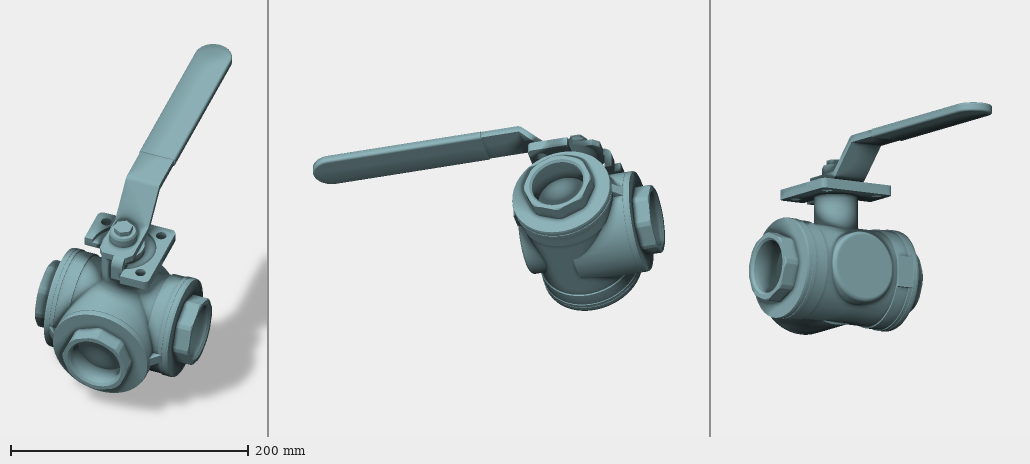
import cadquery as cq


lever_span = 299.2
total_height = 153.8

port_reach = 138.5 / 2
cap_outer = 55.7
cap_inner = 51.0
cap_bevel_length = 1.8
cap_bevel_depth = 0.45
flange_inner = 47.3
band_inner = 35.3
flange_radius = 86.0 / 2
band_radius = 84.0 / 2
run_radius = 40.7
joint_groove = 0.45
joint_width = 0.5

octagon_sides = 8
octagon_flats = 55.0
octagon_corner_radius = 29.0
octagon_chamfer = 1.0
bore_radius = 45 / 2
side_bore_depth = 24.0
front_bore_depth = 20.3
bore_chamfer = 1.8

back_radius = 60.0 / 2
back_reach = 44.5
back_rounding = 3.3
pad_height = 26.3
web_thickness = 8.0

neck_radius = 37.0 / 2
neck_top_radius = 36 / 2
neck_step = 70.5
neck_top = 77.8
neck_fillet = 4.0
plate_side = 70.0
plate_bottom = 65.8
plate_top = 74.2
plate_corner = 4.5
plate_recess_radius = 27.8
plate_hole_diameter = 9.0
plate_hole_circle = 70.0
plate_hole_count = 4
notch_side = 10.2

nut_diameter = 23.0
nut_top = 93.0
nut_chamfer_height = 2.0
nut_chamfer_width = 1.05
stem_sides = 6
stem_corner_diameter = 16.2
stem_top = 97.5

lever_width = 30.0
lever_thickness = 6.0
lever_low_top = neck_top + lever_thickness
lever_high_top = 110.5
lever_rise = lever_high_top - lever_low_top
lever_front = -22.0
lever_bend_top = 19.8
lever_bend_bottom = 20.5
outer_bend_radius = 7.0
inner_bend_radius = 3.0
lever_corner_length = 5.5
lever_corner_width = 4.5
tab_width = 10.0
tab_front = -29.5
tab_bottom = 64.0
grip_width = 32.0
grip_start = 80.2
grip_end = lever_span - port_reach
grip_top = total_height - flange_radius
grip_thickness = 7.5
grip_rounding = 1.8


def disc(radius, start, end):
    """Cylinder on the Z axis between two heights."""
    return cq.Workplane("XY").workplane(offset=start).circle(radius).extrude(end - start)


def to_left(shape):
    """Turn a shape built along +Z so that it points along -X."""
    return shape.rotate((0, 0, 0), (0, 1, 0), -90)


def to_right(shape):
    """Turn a shape built along +Z so that it points along +X."""
    return shape.rotate((0, 0, 0), (0, 1, 0), 90)


def to_front(shape):
    """Turn a shape built along +Z so that it points along -Y."""
    return shape.rotate((0, 0, 0), (1, 0, 0), 90)


def cap_and_octagon():
    """End cap with its octagonal port, built along +Z."""
    groove = disc(flange_radius - joint_groove, cap_inner - joint_width, cap_inner)
    cap = (
        disc(flange_radius, cap_inner, cap_outer)
        .faces(">Z").edges().chamfer(cap_bevel_length, cap_bevel_depth)
    )
    octagon = (
        cq.Workplane("XY").workplane(offset=cap_inner)
        .polygon(octagon_sides, octagon_flats, circumscribed=True)
        .extrude(port_reach - cap_inner)
    )
    corner_limit = (
        disc(octagon_corner_radius, cap_inner, port_reach)
        .faces(">Z").edges().chamfer(octagon_chamfer)
    )
    octagon = octagon.rotate((0, 0, 0), (0, 0, 1), 180 / octagon_sides).intersect(corner_limit)
    return groove.union(cap).union(octagon)


def port_bore(depth):
    """Blind bore with a chamfered mouth, built along +Z."""
    bore = disc(bore_radius, port_reach - depth, port_reach)
    mouth = (
        cq.Workplane("XY").workplane(offset=port_reach)
        .circle(bore_radius + bore_chamfer)
        .workplane(offset=-bore_chamfer).circle(bore_radius)
        .loft()
    )
    return bore.union(mouth)


def body():
    """Barrel along X, front branch, back boss and neck; only the front of the neck root is filleted."""
    run = to_right(disc(run_radius, -cap_inner, cap_inner))
    branch = to_front(disc(flange_radius, 0, cap_inner - joint_width))
    neck = disc(neck_radius, 0, neck_step)
    shell = run.union(branch).union(neck)
    root_zone = cq.selectors.BoxSelector(
        (-flange_radius / 2, -flange_radius / 2, run_radius / 2),
        (flange_radius / 2, flange_radius / 2, neck_step - neck_fillet),
    )
    front_half = cq.Workplane("XY").box(
        2 * cap_outer, cap_outer, 2 * neck_top, centered=(True, False, True)
    ).translate((0, -cap_outer, 0))
    shell = shell.union(shell.edges(root_zone).fillet(neck_fillet).intersect(front_half))
    back = to_front(disc(back_radius, -back_reach, 0).faces("<Z").edges().fillet(back_rounding))
    shell = shell.union(back)
    for turn in (to_left, to_right):
        shell = shell.union(turn(disc(band_radius, band_inner, flange_inner)))
        shell = shell.union(turn(disc(flange_radius, flange_inner, cap_inner - joint_width)))
    return shell.union(disc(neck_top_radius, neck_step, neck_top))


def marking_pad():
    """Flat pad on the back of the left band."""
    length = cap_inner - joint_width - band_inner
    pad_root = run_radius / 2
    return cq.Workplane("XY").box(
        length, flange_radius - pad_root, pad_height, centered=(False, False, True)
    ).translate((-band_inner - length, pad_root, 0))


def corner_webs():
    """Flat web whose slanted corners join the front rim to the two side rims."""
    return (
        cq.Workplane("XY").workplane(offset=-web_thickness / 2)
        .polyline([
            (-cap_inner, -flange_radius), (-flange_radius, -cap_inner),
            (flange_radius, -cap_inner), (cap_inner, -flange_radius),
        ])
        .close().extrude(web_thickness)
    )


def mounting_plate():
    """Square actuator plate with a round recess and a cut-away front."""
    height = plate_top - plate_bottom
    plate = (
        cq.Workplane("XY").workplane(offset=plate_bottom)
        .rect(plate_side, plate_side).extrude(height)
        .edges("|Z").fillet(plate_corner)
    )
    holes = (
        cq.Workplane("XY").workplane(offset=plate_bottom)
        .polarArray(plate_hole_circle / 2, 180 / plate_hole_count, 360, plate_hole_count)
        .circle(plate_hole_diameter / 2).extrude(height)
    )
    notch = cq.Workplane("XY").box(
        plate_side / 2 + notch_side, plate_side / 2, height, centered=False
    ).translate((-plate_side / 2, -plate_side / 2, plate_bottom))
    recess = disc(plate_recess_radius, neck_step, plate_top)
    return plate.cut(holes).cut(notch).cut(recess)


def lever():
    """Cranked flat bar with a stop tab and a round-ended grip."""
    bar_end = grip_end - grip_width
    bar = (
        cq.Workplane("YZ").workplane(offset=-lever_width / 2)
        .polyline([
            (lever_front, neck_top),
            (lever_bend_bottom, neck_top),
            (lever_bend_bottom + lever_rise, lever_high_top - lever_thickness),
            (bar_end, lever_high_top - lever_thickness),
            (bar_end, lever_high_top),
            (lever_bend_top + lever_rise, lever_high_top),
            (lever_bend_top, lever_low_top),
            (lever_front, lever_low_top),
        ])
        .close().extrude(lever_width)
    )
    for y, z, radius in (
        (lever_bend_bottom, neck_top, outer_bend_radius),
        (lever_bend_top + lever_rise, lever_high_top, outer_bend_radius),
        (lever_bend_top, lever_low_top, inner_bend_radius),
    ):
        bar = bar.edges(cq.selectors.NearestToPointSelector((0, y, z))).fillet(radius)
    for side in (-1, 1):
        edge = side * lever_width / 2
        corner = (
            cq.Workplane("XY").workplane(offset=neck_top)
            .polyline([
                (edge, lever_front),
                (edge - side * lever_corner_width, lever_front),
                (edge, lever_front + lever_corner_length),
            ])
            .close().extrude(lever_thickness)
        )
        bar = bar.cut(corner)
    return bar.union(stop_tab()).union(grip())


def stop_tab():
    """Tab bent down from the front of the lever."""
    tab_back = tab_front + lever_thickness
    inner_radius = lever_front - tab_back
    outer_radius = inner_radius + lever_thickness
    bend_bottom = neck_top - inner_radius
    return (
        cq.Workplane("YZ")
        .moveTo(lever_front, neck_top)
        .radiusArc((tab_back, bend_bottom), -inner_radius)
        .lineTo(tab_back, tab_bottom)
        .lineTo(tab_front, tab_bottom)
        .lineTo(tab_front, bend_bottom)
        .radiusArc((lever_front, lever_low_top), outer_radius)
        .close().extrude(tab_width)
    )


def grip():
    """Thicker sleeve over the long end of the lever."""
    radius = grip_width / 2
    return (
        cq.Workplane("XY").workplane(offset=grip_top - grip_thickness)
        .moveTo(-radius, grip_start)
        .lineTo(-radius, grip_end - radius)
        .threePointArc((0, grip_end), (radius, grip_end - radius))
        .lineTo(radius, grip_start)
        .close().extrude(grip_thickness)
        .edges("(>Z or <Z) and (not <Y)").fillet(grip_rounding)
    )


def nut_and_stem():
    """Round nut on the lever with the hexagonal stem end above it."""
    nut = (
        disc(nut_diameter / 2, neck_top, nut_top)
        .faces(">Z").edges().chamfer(nut_chamfer_height, nut_chamfer_width)
    )
    stem = (
        cq.Workplane("XY").workplane(offset=neck_top)
        .polygon(stem_sides, stem_corner_diameter).extrude(stem_top - neck_top)
        .rotate((0, 0, 0), (0, 0, 1), 180 / stem_sides)
    )
    return nut.union(stem)


result = body().union(marking_pad()).union(corner_webs()).union(mounting_plate())
for turn, depth in (
    (to_left, side_bore_depth),
    (to_right, side_bore_depth),
    (to_front, front_bore_depth),
):
    result = result.union(turn(cap_and_octagon())).cut(turn(port_bore(depth)))
result = result.union(lever()).union(nut_and_stem())